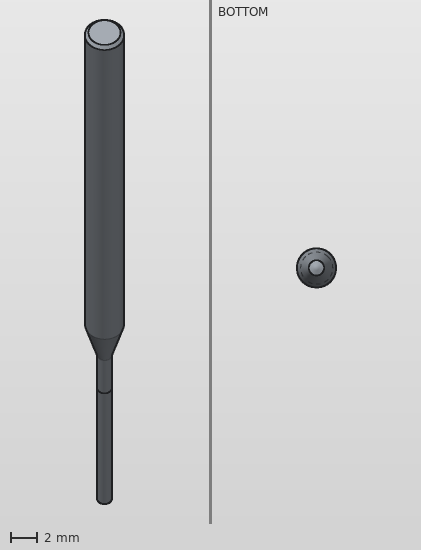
import cadquery as cq

total_length = 55.2
shank_diameter = 3.0
shank_chamfer = 0.3
slim_diameter = 1.15

point_height = 0.2
cutter_top = 13.3
neck_top = 17.2
shank_bottom = 20.8

shank_radius = shank_diameter / 2
slim_radius = slim_diameter / 2


def make_holder():
    """Shank with a chamfered end, tapering down to a slim neck."""
    profile = (
        cq.Workplane("XZ")
        .moveTo(0, cutter_top)
        .lineTo(slim_radius, cutter_top)
        .lineTo(slim_radius, neck_top)
        .lineTo(shank_radius, shank_bottom)
        .lineTo(shank_radius, total_length - shank_chamfer)
        .lineTo(shank_radius - shank_chamfer, total_length)
        .lineTo(0, total_length)
        .close()
    )
    return profile.revolve(360, (0, 0, 0), (0, 1, 0))


def make_cutter():
    """Cylindrical cutting length that ends in a shallow conical point."""
    profile = (
        cq.Workplane("XZ")
        .moveTo(0, 0)
        .lineTo(slim_radius, point_height)
        .lineTo(slim_radius, cutter_top)
        .lineTo(0, cutter_top)
        .close()
    )
    return profile.revolve(360, (0, 0, 0), (0, 1, 0))


holder = make_holder()
cutter = make_cutter()
result = cq.Compound.makeCompound([holder.val(), cutter.val()])